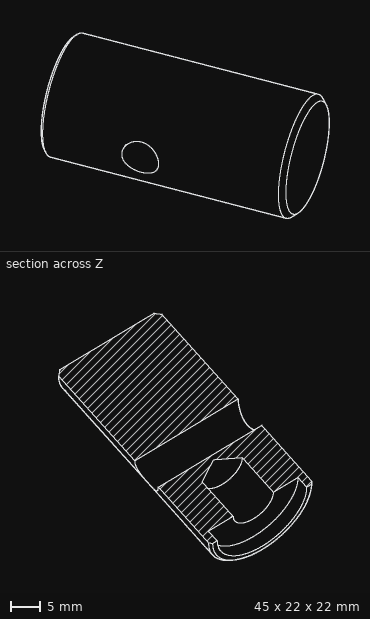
import cadquery as cq
import math

length = 45.0
body_diameter = 22.0
front_chamfer = 0.5
rear_chamfer = 1.0

recess_diameter = 19.0
recess_depth = 2.5

bore_diameter = 8.5
bore_depth = 9.0
drill_point_angle = 118.0

cross_hole_diameter = 6.8
cross_hole_x = 18.5


def make_body():
    """Cylinder from X = 0 to X = length, chamfered at both ends."""
    cylinder = cq.Workplane("YZ").circle(body_diameter / 2).extrude(length)
    return cylinder.faces("<X").chamfer(front_chamfer).faces(">X").chamfer(rear_chamfer)


def make_recess():
    """Disc cut into the front end face."""
    return cq.Workplane("YZ").circle(recess_diameter / 2).extrude(recess_depth)


def make_bore():
    """Revolved drill shape: straight wall followed by a cone."""
    bore_radius = bore_diameter / 2
    bore_end = recess_depth + bore_depth
    point_length = bore_radius / math.tan(math.radians(drill_point_angle / 2))
    return (
        cq.Workplane("XY")
        .lineTo(0, bore_radius)
        .lineTo(bore_end, bore_radius)
        .lineTo(bore_end + point_length, 0)
        .close()
        .revolve(360, (0, 0, 0), (1, 0, 0))
    )


def make_cross_hole():
    """Cylinder along Y spanning the whole body."""
    return (
        cq.Workplane("XZ")
        .center(cross_hole_x, 0)
        .circle(cross_hole_diameter / 2)
        .extrude(body_diameter / 2, both=True)
    )


result = make_body().cut(make_recess()).cut(make_bore()).cut(make_cross_hole())